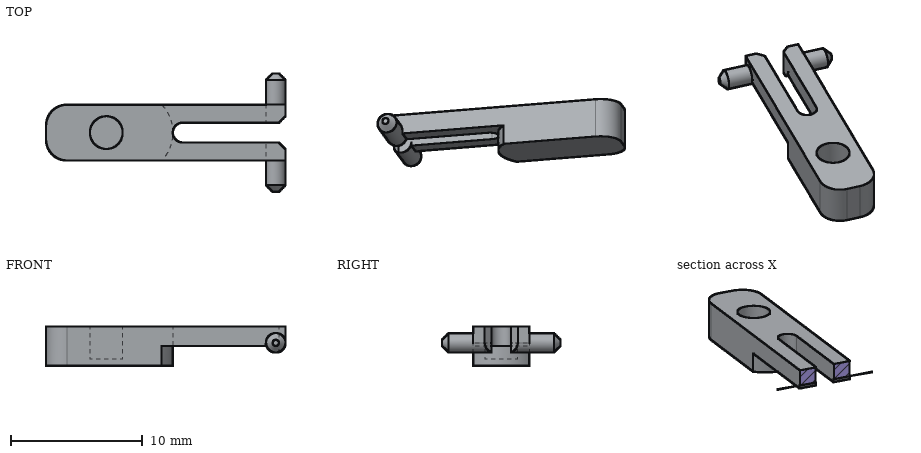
import cadquery as cq

length = 18.19
width = 4.25
height = 3.0
heel_radius = 1.6

arm_thickness = 1.51
pad_length = 9.64
pad_nose_length = 0.85

hole_diameter = 2.5
hole_depth = 2.5
hole_x = 4.58

slot_width = 1.5
slot_start = pad_length
mouth_chamfer = 0.51

pin_diameter = 1.5
pin_span = 9.0
pin_chamfer = 0.51
pin_x = length - pin_diameter / 2
pin_z = height - 1.25


def make_bar():
    """Bar at arm thickness with a rounded heel, reaching to the tip block."""
    bar_length = length - pin_diameter
    bar = cq.Workplane("XY").box(bar_length, width, arm_thickness, centered=(False, True, False))
    bar = bar.edges("|Z and <X").fillet(heel_radius)
    return bar.translate((0, 0, height - arm_thickness))


def make_tip():
    """Tip block across the bar, rounded underneath to follow the pin circle."""
    pin_radius = pin_diameter / 2
    return (
        cq.Workplane("XZ", origin=(pin_x, width / 2, 0))
        .moveTo(-pin_radius, height)
        .lineTo(-pin_radius, pin_z)
        .threePointArc((0, pin_z - pin_radius), (pin_radius, pin_z))
        .lineTo(pin_radius, height)
        .close()
        .extrude(width)
    )


def make_pad():
    """Full-height block under the heel end, closed by a shallow convex arc."""
    half_width = width / 2
    side_end_x = pad_length - pad_nose_length
    pad = (
        cq.Workplane("XY")
        .moveTo(0, -half_width)
        .lineTo(side_end_x, -half_width)
        .threePointArc((pad_length, 0), (side_end_x, half_width))
        .lineTo(0, half_width)
        .close()
        .extrude(height)
    )
    return pad.edges("|Z and <X").fillet(heel_radius)


def make_slot():
    """Slot cutter, open at the arm tips."""
    half_slot = slot_width / 2
    half_mouth = half_slot + mouth_chamfer
    arc_center_x = slot_start + half_slot
    return (
        cq.Workplane("XY")
        .moveTo(arc_center_x, -half_slot)
        .lineTo(length - mouth_chamfer, -half_slot)
        .lineTo(length, -half_mouth)
        .lineTo(length, half_mouth)
        .lineTo(length - mouth_chamfer, half_slot)
        .lineTo(arc_center_x, half_slot)
        .threePointArc((slot_start, 0), (arc_center_x, -half_slot))
        .close()
        .extrude(height)
    )


def make_pins():
    """Pair of coaxial pins with chamfered tips, starting at the arm outer faces."""
    pin_length = (pin_span - width) / 2
    pin = (
        cq.Workplane("XZ", origin=(pin_x, -width / 2, pin_z))
        .circle(pin_diameter / 2)
        .extrude(pin_length)
        .faces("<Y")
        .chamfer(pin_chamfer)
    )
    return pin.union(pin.mirror("XZ"))


def make_hole():
    """Flat-bottomed hole cutter reaching down from the top face."""
    hole = cq.Workplane("XY", origin=(hole_x, 0, height))
    return hole.circle(hole_diameter / 2).extrude(-hole_depth)


body = make_bar().union(make_tip()).union(make_pad())
result = body.cut(make_slot()).cut(make_hole()).union(make_pins())